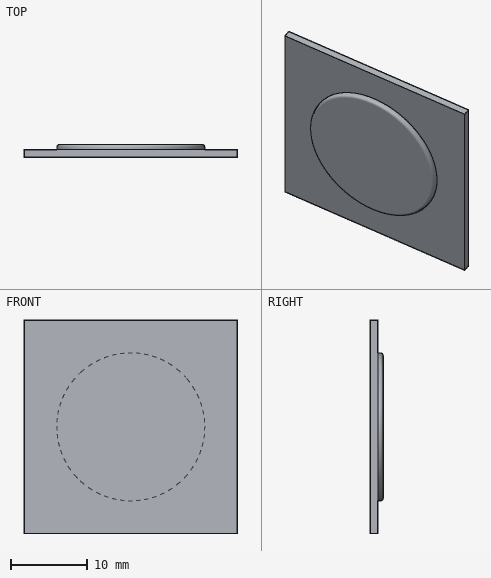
import cadquery as cq

plate_side = 28.0
plate_thickness = 1.0
pad_diameter = 19.43
pad_height = 0.7
pad_edge_radius = 0.4

plate = cq.Workplane("XY").box(
    plate_side, plate_thickness, plate_side, centered=(True, False, True)
)

pad = (
    cq.Workplane("XZ", origin=(0, plate_thickness, 0))
    .circle(pad_diameter / 2)
    .extrude(-pad_height)
    .faces(">Y")
    .edges()
    .fillet(pad_edge_radius)
)

result = plate.union(pad)